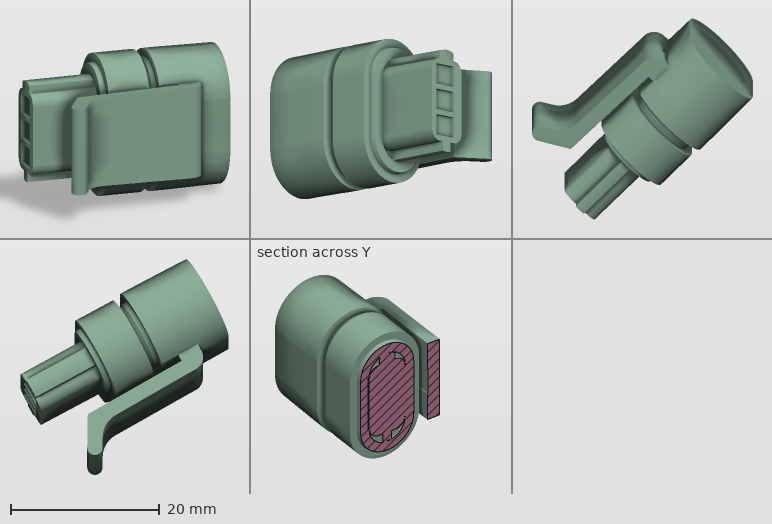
import cadquery as cq
import math


nose_base_y = 9.15
seal_front_y = 9.92
seal_back_y = 15.7
ring_front_y = 16.4
head_front_y = 17.1
head_draft_y = 19.65
body_length = 27.1

core_half_straight = 4.15
head_half_straight = 3.75
seal_radius = 5.7
core_front_radius = 4.35
core_wide_radius = 4.53
core_neck_radius = 4.4
ring_radius = 4.63
head_radius = 6.07
head_back_radius = 5.95

nose_base_radius = 2.93
nose_tip_radius = 2.87
nose_half_height = 5.7
nose_corner_radius = nose_half_height - core_half_straight
top_key_width = 2.68
bottom_key_width = 1.5
nose_recess_depth = 0.4
socket_count = 3
socket_width = 3.41
socket_height = 2.8
socket_pitch = 3.5
socket_x = -0.3
socket_depth = 0.55

root_inner_x = 5.42
root_outer_x = 8.37
root_back_y = 22.65
root_round = 1.95
root_half_height = 6.31
arm_half_height = 5.95
arm_inner_x = 6.42
arm_lean = math.radians(1.3)
bend_inner_x = 6.7
bend_inner_y = 5.05
tab_angle = math.radians(30)
tab_length = 4.58
tab_thickness = 2.05
bend_round = 3.5
window_half_height = 1.92


def oblong(front_y, back_y, half_straight, front_radius, back_radius):
    """Oblong body, long along Z, running from front_y to back_y with straight drafted sides."""
    front_length = 2 * (half_straight + front_radius)
    back_length = 2 * (half_straight + back_radius)
    return (
        cq.Workplane("XZ", origin=(0, front_y, 0))
        .slot2D(front_length, 2 * front_radius, 90)
        .workplane(offset=front_y - back_y)
        .slot2D(back_length, 2 * back_radius, 90)
        .loft(combine=True)
    )


def box_between(x_range, y_range, z_range):
    """Box given by its limits along each axis."""
    limits = (x_range, y_range, z_range)
    sizes = [high - low for low, high in limits]
    corner = tuple(low for low, high in limits)
    return cq.Workplane("XY").box(*sizes, centered=False).translate(corner)


def make_body():
    """Core, seal, ring and drafted head stacked along Y."""
    r_core = core_half_straight
    r_head = head_half_straight
    sections = [
        (nose_base_y, seal_front_y, r_core, core_front_radius, core_wide_radius),
        (seal_front_y, seal_back_y, r_core, seal_radius, seal_radius),
        (seal_back_y, ring_front_y, r_core, core_wide_radius, core_neck_radius),
        (ring_front_y, head_front_y, r_core, ring_radius, ring_radius),
        (head_front_y, head_draft_y, r_head, head_radius, head_radius),
        (head_draft_y, body_length, r_head, head_radius, head_back_radius),
    ]
    body = oblong(*sections[0])
    for section in sections[1:]:
        body = body.union(oblong(*section))
    flat = box_between(
        (root_inner_x, head_radius + 0.27),
        (head_front_y, head_draft_y),
        (-root_half_height, root_half_height),
    )
    recess_back_y = nose_base_y + nose_recess_depth
    recess = oblong(nose_base_y, recess_back_y, core_half_straight, nose_base_radius, nose_base_radius)
    return body.cut(flat).cut(recess)


def make_nose():
    """Rounded block with a wide top key and a narrow bottom key, both ending on the oblong envelope."""
    length = nose_base_y + nose_recess_depth
    envelope = oblong(0, length, core_half_straight, nose_tip_radius, nose_base_radius)
    envelope_half_height = core_half_straight + nose_base_radius
    block_outline = (
        cq.Sketch()
        .rect(2 * nose_base_radius, 2 * nose_half_height)
        .vertices()
        .fillet(nose_corner_radius)
    )
    draft = math.degrees(math.atan((nose_base_radius - nose_tip_radius) / length))
    block = cq.Workplane("XZ", origin=(0, length, 0)).placeSketch(block_outline).extrude(length, taper=draft)
    top_key = box_between(
        (-top_key_width / 2, top_key_width / 2), (0, length), (0, envelope_half_height)
    )
    bottom_key = box_between(
        (-bottom_key_width / 2, bottom_key_width / 2), (0, length), (-envelope_half_height, 0)
    )
    keys = top_key.union(bottom_key).intersect(envelope)
    nose = block.union(keys)
    first_z = -socket_pitch * (socket_count - 1) / 2
    centers = [(socket_x, first_z + i * socket_pitch) for i in range(socket_count)]
    sockets = (
        cq.Workplane("XZ")
        .pushPoints(centers)
        .rect(socket_width, socket_height)
        .extrude(-socket_depth)
    )
    return nose.cut(sockets)


def make_latch_root():
    """Block joining the arm to the head, with a rounded back corner."""
    root = box_between(
        (root_inner_x, root_outer_x),
        (head_draft_y, root_back_y),
        (-root_half_height, root_half_height),
    )
    return root.edges("|Z and >X and >Y").fillet(root_round)


def make_latch_arm():
    """Slightly leaning arm with a round-ended release tab, narrowing towards the tab."""
    along = (math.cos(tab_angle), -math.sin(tab_angle))
    across = (math.sin(tab_angle), math.cos(tab_angle))
    tip_low = (bend_inner_x + tab_length * along[0], bend_inner_y + tab_length * along[1])
    tip_high = (tip_low[0] + tab_thickness * across[0], tip_low[1] + tab_thickness * across[1])
    tip_radius = tab_thickness / 2
    tip_end = (
        (tip_low[0] + tip_high[0]) / 2 + tip_radius * along[0],
        (tip_low[1] + tip_high[1]) / 2 + tip_radius * along[1],
    )
    lean = math.tan(arm_lean)
    slope = math.tan(tab_angle)
    drop = tip_high[1] + slope * (tip_high[0] - root_outer_x)
    bend_shift = lean * (head_draft_y - drop) / (1 - lean * slope)
    bend_outer = (root_outer_x + bend_shift, drop - slope * bend_shift)
    arm = (
        cq.Workplane("XY", origin=(0, 0, -root_half_height))
        .moveTo(arm_inner_x, head_draft_y)
        .lineTo(bend_inner_x, bend_inner_y)
        .lineTo(*tip_low)
        .threePointArc(tip_end, tip_high)
        .lineTo(*bend_outer)
        .lineTo(root_outer_x, head_draft_y)
        .close()
        .extrude(2 * root_half_height)
    )
    bend_edge = cq.selectors.NearestToPointSelector((*bend_outer, 0))
    arm = arm.edges("|Z").edges(bend_edge).fillet(bend_round)
    width_outline = [
        (head_draft_y, root_half_height),
        (0, arm_half_height),
        (0, -arm_half_height),
        (head_draft_y, -root_half_height),
    ]
    width = cq.Workplane("YZ").polyline(width_outline).close().extrude(2 * tip_end[0])
    return arm.intersect(width)


window = box_between(
    (head_radius, bend_inner_x),
    (bend_inner_y, root_back_y),
    (-window_half_height, window_half_height),
)
latch = make_latch_root().union(make_latch_arm()).cut(window)
result = make_body().union(make_nose()).union(latch)